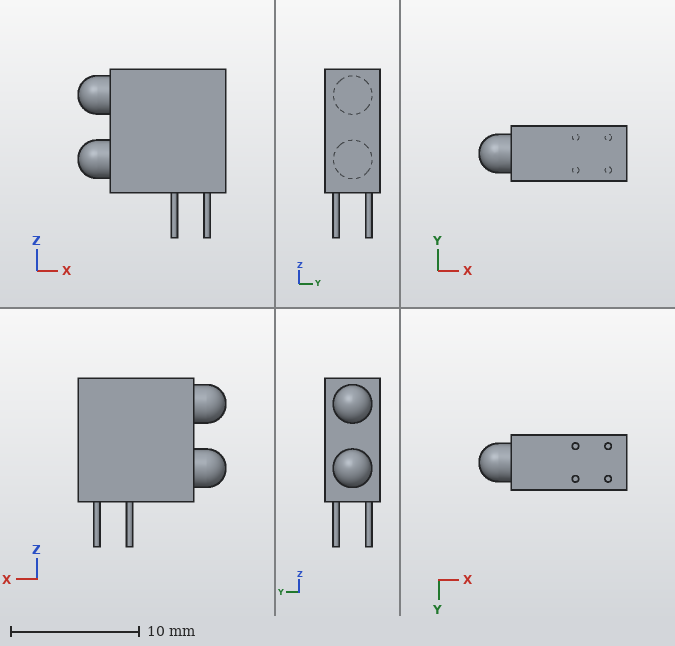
import cadquery as cq

overall_height = 13.1
housing_length = 9.0
housing_width = 4.3
housing_height = 9.6

lens_diameter = 3.0
lens_radius = lens_diameter / 2
lens_projection = 2.5
lens_barrel_length = lens_projection - lens_radius
lens_spacing = 5.0
top_lens_drop = 1.99
top_lens_z = housing_height - top_lens_drop

pin_diameter = 0.5
pin_spacing = 2.54
pin_length = overall_height - housing_height
rear_pin_setback = 1.47
pin_pattern_x = housing_length - rear_pin_setback - pin_spacing / 2


def make_housing():
    return cq.Workplane("XY").box(
        housing_length, housing_width, housing_height, centered=(False, True, False)
    )


def make_lens(center_z):
    """Barrel and hemispherical tip, revolved about an axis along X."""
    dome_start_x = -lens_barrel_length
    diagonal = lens_radius * 0.5**0.5
    return (
        cq.Workplane("XZ", origin=(0, 0, center_z))
        .lineTo(0, lens_radius)
        .lineTo(dome_start_x, lens_radius)
        .threePointArc((dome_start_x - diagonal, diagonal), (-lens_projection, 0))
        .close()
        .revolve(360, (0, 0), (1, 0))
    )


def make_pins():
    return (
        cq.Workplane("XY", origin=(pin_pattern_x, 0, 0))
        .rarray(pin_spacing, pin_spacing, 2, 2)
        .circle(pin_diameter / 2)
        .extrude(-pin_length)
    )


result = make_housing().union(make_pins())
for lens_z in (top_lens_z, top_lens_z - lens_spacing):
    result = result.union(make_lens(lens_z))